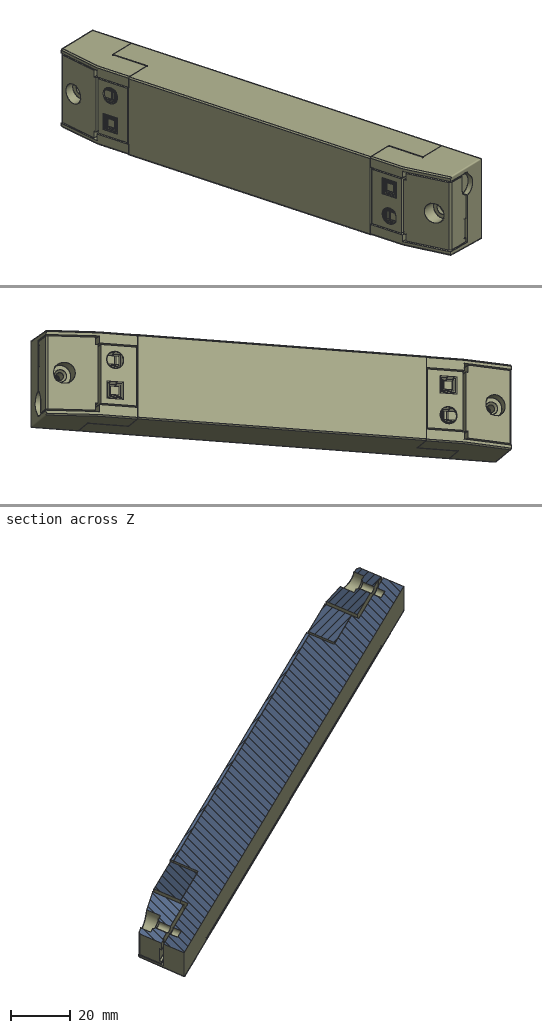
import cadquery as cq
import math

length = 164.0
depth = 21.0
height = 30.0
draft_drop = 0.41
edge_round = 0.5
front_chamfer = 0.5
cover_chamfer = 0.7
x_end = length / 2
y_back = depth / 2

base_depth = 20.7
end_depth = 17.2
slope_length = 17.5
sleeve_wall = 1.3
sleeve_back_inset = 16.7
sleeve_front_inset = 31.2
seam_depth = 10.7
seam_gap = 0.3

gap = 0.5
pocket_floor = 7.9
pocket_inset = 17.7
pocket_half_height = 13.1
window_half_height = 10.7
cover_half_height = pocket_half_height - gap
cover_inset = 16.4
tongue_inset = pocket_inset - gap
tongue_half_height = window_half_height - gap
cover_back = 8.9
lip_back = 8.5
lip_thickness = 2.0
vent_depth = 9.4
vent_bottom = 4.0
vent_top = 11.3

cable_radius = 3.8
cable_z = -8.2
cable_depth = 8.7
cover_arch_depth = 7.2
arch_side = cover_arch_depth + cable_radius
pad_end_inset = 5.0
pad_step_top = -10.7

screw_inset = 6.0
screw_head_radius = 3.6
screw_hole_radius = 1.3
screw_mouth_radius = 2.1
screw_head_seat = 14.0
pilot_bottom = 5.0

terminal_half_height = window_half_height - gap
terminal_start = pocket_inset + gap
terminal_end = sleeve_front_inset - gap
port_inset = 23.3
port_offset = 5.2
port_size = 5.9
port_steps = 4
port_ledge = 0.5
port_step_depth = 0.2
slot_width = 0.5


def block(inset_a, inset_b, depth_a, depth_b, z_low, z_high):
    """Box placed by distances from the left end and forwards from the back face."""
    corner = cq.Vector(inset_a - x_end, y_back - depth_b, z_low)
    return cq.Workplane(cq.Solid.makeBox(inset_b - inset_a, depth_b - depth_a, z_high - z_low, corner))


def mirrored_block(inset_a, inset_b, depth_a, depth_b, half_height):
    """Box that is symmetric about mid-height."""
    return block(inset_a, inset_b, depth_a, depth_b, -half_height, half_height)


def front_rod(inset, z, radius, depth_a, depth_b):
    """Cylinder along Y between two depths."""
    start = cq.Vector(inset - x_end, y_back - depth_a, z)
    return cq.Workplane(cq.Solid.makeCylinder(radius, depth_b - depth_a, start, cq.Vector(0, -1, 0)))


def front_cone(inset, small_radius, large_radius, mouth_depth):
    """45 degree cone at mid-height that widens forwards to its mouth."""
    cone_length = large_radius - small_radius
    start = cq.Vector(inset - x_end, y_back - mouth_depth + cone_length, 0)
    cone = cq.Solid.makeCone(small_radius, large_radius, cone_length, start, cq.Vector(0, -1, 0))
    return cq.Workplane(cone)


def end_rod(depth_centre, z, radius, rod_length):
    """Cylinder running inwards from the left end face."""
    start = cq.Vector(-x_end, y_back - depth_centre, z)
    return cq.Workplane(cq.Solid.makeCylinder(radius, rod_length, start, cq.Vector(1, 0, 0)))


def drafted_bar(front_depth, wall):
    """Full-length bar whose height narrows towards the front, inset by a wall above and below."""
    half_back = height / 2 - wall
    half_front = half_back - draft_drop * front_depth / depth
    y_front = y_back - front_depth
    outline = [(y_back, -half_back), (y_back, half_back), (y_front, half_front), (y_front, -half_front)]
    return cq.Workplane("YZ").polyline(outline).close().extrude(length / 2, both=True)


def plan_prism():
    """Plan outline of the base: straight back and front, sloped towards both ends."""
    foot = x_end - slope_length
    outline = [
        (-x_end, y_back),
        (x_end, y_back),
        (x_end, y_back - end_depth),
        (foot, y_back - base_depth),
        (-foot, y_back - base_depth),
        (-x_end, y_back - end_depth),
    ]
    return cq.Workplane("XY").polyline(outline).close().extrude(height / 2, both=True)


def both_ends(left):
    """The left-hand shape and its copy turned half a turn about Y."""
    return [left, left.rotate((0, 0, 0), (0, 1, 0), 180)]


def sleeve_space(rear_depth):
    """Stepped stretch that the sleeve occupies, longer up to the rear depth."""
    rear = mirrored_block(sleeve_back_inset, length - sleeve_back_inset, 0, rear_depth, height)
    front = mirrored_block(sleeve_front_inset, length - sleeve_front_inset, 0, depth, height)
    return rear.union(front)


def sleeve_cavity():
    """Inside of the sleeve, open at the back, which the middle of the base fills."""
    return drafted_bar(depth - sleeve_wall, sleeve_wall)


def make_sleeve():
    bar = drafted_bar(depth, 0)
    bar = bar.faces("<Y").edges("|X").chamfer(front_chamfer)
    return bar.intersect(sleeve_space(seam_depth - seam_gap)).cut(sleeve_cavity())


def cable_hole():
    """Round hole in the end wall with a 45 degree ramp out to the lower corner of the pocket."""
    reach = cable_radius * math.sqrt(0.5)
    tangent_y = y_back - cable_depth + reach
    tangent_z = cable_z - reach
    drop = tangent_z + pocket_half_height
    ramp = [
        (tangent_y, tangent_z),
        (tangent_y - drop, -pocket_half_height),
        (y_back - cable_depth - cable_radius, -pocket_half_height),
        (y_back - cable_depth, cable_z),
    ]
    lower = cq.Workplane("YZ", origin=(-x_end, 0, 0)).polyline(ramp).close().extrude(lip_thickness)
    return end_rod(cable_depth, cable_z, cable_radius, lip_thickness).union(lower)


def cable_pad():
    """Pad closing off the cable entry, with a taller step in the lower corner of the pocket."""
    pad_top = cable_z + cable_radius
    low = block(lip_thickness, pad_end_inset, pocket_floor, cover_back, -pocket_half_height, pad_top)
    step = block(lip_thickness, pad_end_inset, pocket_floor, arch_side, -pocket_half_height, pad_step_top)
    return low.union(step)


def make_base():
    base = drafted_bar(base_depth, 0).intersect(plan_prism())
    base = base.edges("(not |Z) and (not >Y) and (not <X) and (not >X)").chamfer(front_chamfer)
    base = base.edges("(<X or >X) and (not |Z)").fillet(edge_round)
    base = base.cut(sleeve_space(seam_depth).cut(sleeve_cavity()))

    pocket = mirrored_block(0, pocket_inset, pocket_floor, depth, pocket_half_height)
    pocket_neck = mirrored_block(pocket_inset, terminal_start, pocket_floor, depth, window_half_height)
    window = mirrored_block(terminal_start, sleeve_front_inset, seam_depth, depth, window_half_height)
    pilot = front_rod(screw_inset, 0, screw_hole_radius, pilot_bottom, pocket_floor)
    for cutter in (pocket, pocket_neck, window, pilot, cable_hole()):
        for placed in both_ends(cutter):
            base = base.cut(placed)
    for pad in both_ends(cable_pad()):
        base = base.union(pad)
    return base


def make_cover():
    cover = mirrored_block(0, cover_inset, cover_back, depth, cover_half_height)
    tongue = mirrored_block(cover_inset, tongue_inset, cover_back, depth, tongue_half_height)
    lip = mirrored_block(0, lip_thickness, lip_back, cover_back, cover_half_height)
    cover = cover.union(tongue).union(lip).intersect(plan_prism())
    cover = cover.faces("<X").edges("|Z and <Y").chamfer(cover_chamfer)

    vent = block(0, cover_inset, lip_back, vent_depth, vent_bottom, vent_top)
    arch = end_rod(cover_arch_depth, cable_z, cable_radius, lip_thickness)
    arch_foot = block(0, lip_thickness, lip_back, arch_side, -pocket_half_height, cable_z)
    pad_relief = block(0, pad_end_inset, lip_back, arch_side, -pocket_half_height, pad_step_top)
    screw_hole = front_rod(screw_inset, 0, screw_hole_radius, 0, depth)
    screw_mouth = front_cone(screw_inset, screw_hole_radius, screw_mouth_radius, screw_head_seat)
    screw_head = front_rod(screw_inset, 0, screw_head_radius, screw_head_seat, depth)
    for cutter in (vent, arch, arch_foot, pad_relief, screw_hole, screw_mouth, screw_head):
        cover = cover.cut(cutter)
    return cover


def make_terminal():
    """Terminal block with a stepped round port above a stepped square port."""
    terminal = mirrored_block(terminal_start, terminal_end, seam_depth, base_depth, terminal_half_height)
    half = port_size / 2
    for step in range(port_steps):
        reach = half - step * port_ledge
        floor = base_depth - (step + 1) * port_step_depth
        square = block(port_inset - reach, port_inset + reach, floor, depth, -reach, reach)
        terminal = terminal.cut(square.translate((0, 0, -port_offset)))

        bore = front_rod(port_inset, 0, half, floor, depth)
        lead_in = block(port_inset - half, port_inset + reach, floor, depth, -reach, reach)
        terminal = terminal.cut(bore.intersect(lead_in).translate((0, 0, port_offset)))

    inner = half - (port_steps - 1) * port_ledge
    slot_floor = base_depth - (port_steps + 1) * port_step_depth
    slot = block(port_inset, port_inset + slot_width, slot_floor, depth, -inner, inner)
    return terminal.cut(slot.translate((0, 0, port_offset)))


sleeve = make_sleeve()
base = make_base()
covers = both_ends(make_cover())
terminals = both_ends(make_terminal())

bodies = [sleeve, base, *covers, *terminals]
result = cq.Compound.makeCompound([body.solids().val() for body in bodies])